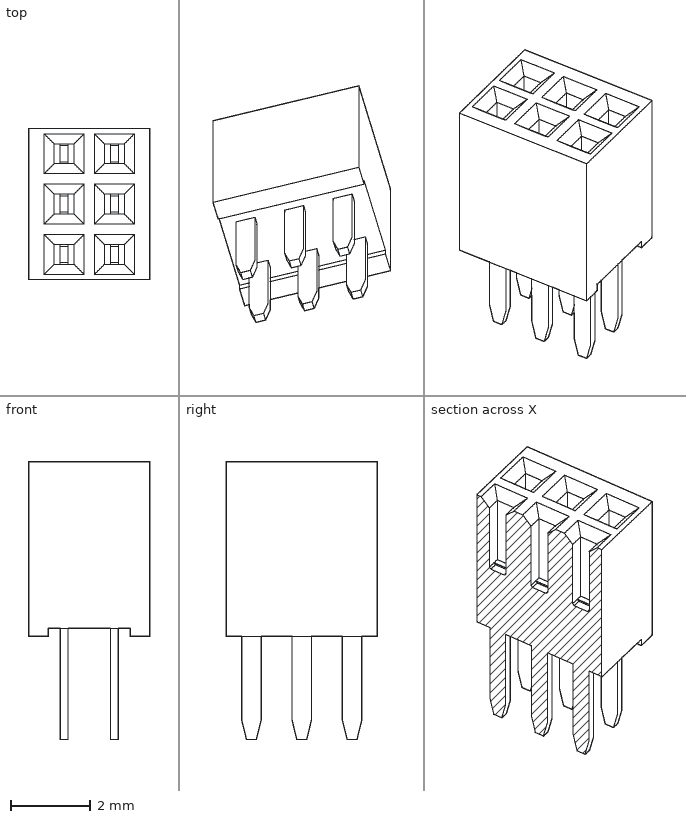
import cadquery as cq


columns = 2
rows = 3
pitch = 1.27

total_height = 7
pin_projection = 2.6
housing_width = 3.05
housing_length = 3.81
housing_height = total_height - pin_projection
foot_width = 0.5
foot_height = 0.2

pin_thickness = 0.2
pin_width = 0.5
tip_width = 0.25
tip_length = 0.5

mouth_side = 1.0
bore_side = 0.5
lead_in_depth = (mouth_side - bore_side) / 2
bore_floor = housing_height / 2
slot_width = pin_thickness
slot_floor_length = 0.405
slot_depth = (bore_side - slot_floor_length) / 2


def make_housing():
    """Block with a channel along Y underneath, leaving a foot on each long side."""
    block = cq.Workplane("XY").box(
        housing_width, housing_length, housing_height, centered=(True, True, False)
    )
    channel = cq.Workplane("XY").box(
        housing_width - 2 * foot_width, housing_length, foot_height, centered=(True, True, False)
    )
    return block.cut(channel)


def make_pin():
    """Flat pin on the Z axis, narrowing along Y to a blunt tip."""
    half_width = pin_width / 2
    half_tip = tip_width / 2
    shoulder = tip_length - pin_projection
    outline = [
        (-half_width, foot_height),
        (-half_width, shoulder),
        (-half_tip, -pin_projection),
        (half_tip, -pin_projection),
        (half_width, shoulder),
        (half_width, foot_height),
    ]
    return cq.Workplane("YZ").polyline(outline).close().extrude(pin_thickness / 2, both=True)


def make_socket():
    """Solid that fills one socket on the Z axis, to be cut from the housing."""
    lead_in = (
        cq.Workplane("XY", origin=(0, 0, housing_height))
        .rect(mouth_side, mouth_side)
        .workplane(offset=-lead_in_depth)
        .rect(bore_side, bore_side)
        .loft(ruled=True)
    )
    bore = (
        cq.Workplane("XY", origin=(0, 0, bore_floor))
        .rect(bore_side, bore_side)
        .extrude(housing_height - lead_in_depth - bore_floor)
    )
    slot_floor = bore_floor - slot_depth
    slot_outline = [
        (-bore_side / 2, bore_floor),
        (-slot_floor_length / 2, slot_floor),
        (slot_floor_length / 2, slot_floor),
        (bore_side / 2, bore_floor),
    ]
    slot = cq.Workplane("YZ").polyline(slot_outline).close().extrude(slot_width / 2, both=True)
    return lead_in.union(bore).union(slot)


result = make_housing()
pin = make_pin()
socket = make_socket()
for column in range(columns):
    for row in range(rows):
        x = (column - (columns - 1) / 2) * pitch
        y = (row - (rows - 1) / 2) * pitch
        result = result.union(pin.translate((x, y, 0)))
        result = result.cut(socket.translate((x, y, 0)))